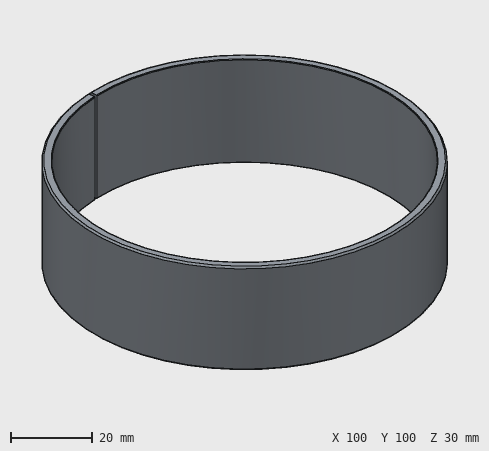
import cadquery as cq

outer_diameter = 100.0
wall_thickness = 2.5
height = 30.0
outer_chamfer = 0.5
inner_chamfer = 0.2
split_angle = 1.0

outer_radius = outer_diameter / 2
inner_radius = outer_radius - wall_thickness
top = height / 2

wall_section = (
    cq.Workplane("XZ")
    .moveTo(-outer_radius, top - outer_chamfer)
    .lineTo(-outer_radius + outer_chamfer, top)
    .lineTo(-inner_radius - inner_chamfer, top)
    .lineTo(-inner_radius, top - inner_chamfer)
    .lineTo(-inner_radius, -top + inner_chamfer)
    .lineTo(-inner_radius - inner_chamfer, -top)
    .lineTo(-outer_radius + outer_chamfer, -top)
    .lineTo(-outer_radius, -top + outer_chamfer)
    .close()
)

result = wall_section.revolve(360 - split_angle, (0, 0, 0), (0, 1, 0))